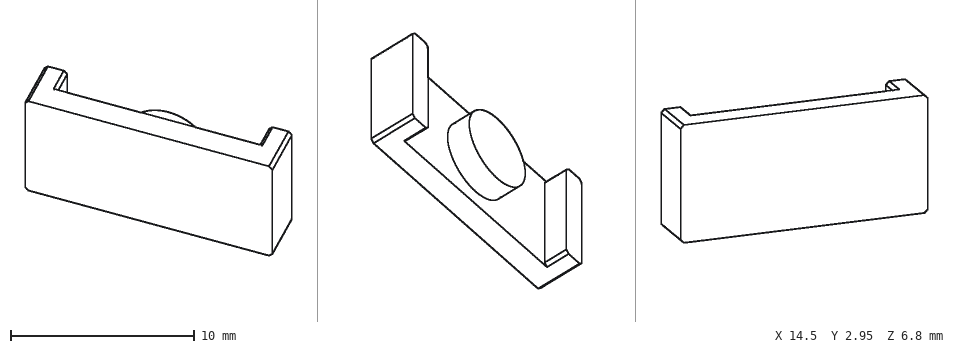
import cadquery as cq

length = 14.5
depth = 2.95
height = 6.8

plate_thickness = 1.4
leg_width = 1.33
edge_chamfer = 0.2
post_diameter = 4.8

leg_depth = depth - plate_thickness


def chamfered_bar(width, bar_depth):
    """Bar centred in X and Z, from Y = 0 to bar_depth, with its four long Y edges chamfered."""
    bar = cq.Workplane("XY").box(width, bar_depth, height, centered=(True, False, True))
    return bar.edges("|Y").chamfer(edge_chamfer)


result = chamfered_bar(length, plate_thickness)

leg_offset = (length - leg_width) / 2
for side in (-1, 1):
    leg = chamfered_bar(leg_width, leg_depth).translate((side * leg_offset, plate_thickness, 0))
    result = result.union(leg)

post = cq.Workplane("XZ", origin=(0, plate_thickness, 0)).circle(post_diameter / 2).extrude(-leg_depth)
result = result.union(post)